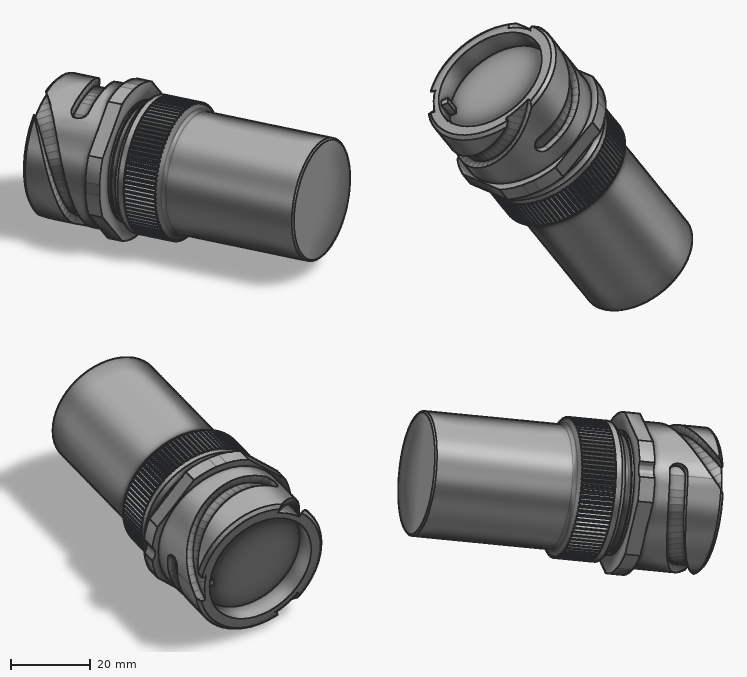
import cadquery as cq
import math


length = 75.8
flange_start = 19.0
flange_end = 23.05
thread_end = 23.65
neck_fillet_end = 24.3
neck_end = 25.3
ring_start = 25.7
knurl_start = 28.5
tube_start = 39.4

shell_radius = 18.65
tube_radius = 15.9
thread_radius = 15.9
neck_entry_radius = 15.2
neck_radius = 14.9
ring_bore_radius = 15.5
ring_radius = 18.0

shell_chamfer = 0.9
ring_chamfer_length = 1.1
ring_chamfer_depth = 1.05
tube_chamfer = 0.45
shoulder_fillet = 1.2
shoulder_slope = math.radians(58.0)

fillet_start_x = tube_start - shoulder_fillet * math.sin(shoulder_slope)
fillet_start_r = tube_radius + shoulder_fillet * (1 - math.cos(shoulder_slope))
knurl_end = fillet_start_x - (ring_radius - fillet_start_r) / math.tan(shoulder_slope)

flange_diagonal_flats = 38.2
flange_square_flats = 41.0
flange_flat_width = 3.0
notch_radius = 2.8
notch_centre = 22.4

knurl_count = 90
knurl_depth = 0.6
knurl_crest_width = 0.3

cavity_radius = 15.0
cavity_depth = 5.6
key_width = 1.75
key_inner_radius = 13.05
key_length = 4.3

slot_count = 3
slot_width = 4.8
slot_floor_radius = 16.5
slot_centre_x = 12.1
slot_end_angle = -62.4
slot_curve_angle = -49.0
slot_curve_radius = 57.6
slot_curve_sweep = 44.0
slot_curve_steps = 21

cut_clearance = 1.5


def turned_body():
    """Revolve the profile of the shell, neck, ring and tube about X."""
    neck_fillet_middle = (
        (thread_end + neck_fillet_end) / 2,
        neck_radius + (neck_entry_radius - neck_radius) / 4,
    )
    fillet_mid_x = tube_start - shoulder_fillet * math.sin(shoulder_slope / 2)
    fillet_mid_r = tube_radius + shoulder_fillet * (1 - math.cos(shoulder_slope / 2))
    return (
        cq.Workplane("XY")
        .moveTo(0, 0)
        .lineTo(0, shell_radius - shell_chamfer)
        .lineTo(shell_chamfer, shell_radius)
        .lineTo(flange_end, shell_radius)
        .lineTo(flange_end, thread_radius)
        .lineTo(thread_end, thread_radius)
        .lineTo(thread_end, neck_entry_radius)
        .threePointArc(neck_fillet_middle, (neck_fillet_end, neck_radius))
        .lineTo(neck_end, neck_radius)
        .lineTo(ring_start, ring_bore_radius)
        .lineTo(ring_start, ring_radius - ring_chamfer_depth)
        .lineTo(ring_start + ring_chamfer_length, ring_radius)
        .lineTo(knurl_end, ring_radius)
        .lineTo(fillet_start_x, fillet_start_r)
        .threePointArc((fillet_mid_x, fillet_mid_r), (tube_start, tube_radius))
        .lineTo(length - tube_chamfer, tube_radius)
        .lineTo(length, tube_radius - tube_chamfer)
        .lineTo(length, 0)
        .close()
        .revolve(360, (0, 0, 0), (1, 0, 0))
    )


def flange():
    """Round plate trimmed by a diagonal square and a slightly larger upright one."""
    thickness = flange_end - flange_start
    corner_radius = math.hypot(flange_square_flats, flange_flat_width) / 2
    face = cq.Workplane("YZ", origin=(flange_start, 0, 0))
    plate = face.circle(corner_radius).extrude(thickness)
    upright = face.rect(flange_square_flats, flange_square_flats).extrude(thickness)
    diagonal = (
        face.transformed(rotate=(0, 0, 45))
        .rect(flange_diagonal_flats, flange_diagonal_flats)
        .extrude(thickness)
    )
    notch = face.center(notch_centre, 0).circle(notch_radius).extrude(thickness)
    return plate.intersect(upright).intersect(diagonal).cut(notch)


def polar_point(radius, angle):
    """Point at a radius and an angle in the plane across X."""
    return (radius * math.cos(angle), radius * math.sin(angle))


def knurl_cutter():
    """Ring whose toothed bore leaves narrow-crested teeth along the knurled band."""
    root_radius = ring_radius - knurl_depth
    pitch = 2 * math.pi / knurl_count
    half_crest = knurl_crest_width / 2 / ring_radius
    outline = []
    for tooth in range(knurl_count):
        crest_angle = tooth * pitch
        root_angle = crest_angle + pitch / 2
        outline.append(polar_point(ring_radius, crest_angle - half_crest))
        outline.append(polar_point(ring_radius, crest_angle + half_crest))
        outline.append(polar_point(root_radius, root_angle))
    return (
        cq.Workplane("YZ", origin=(knurl_start, 0, 0))
        .circle(ring_radius + cut_clearance)
        .polyline(outline)
        .close()
        .extrude(knurl_end - knurl_start)
    )


def slot_section(x, angle, tilt):
    """Rectangle across the slot, standing on its floor and square to its path."""
    radial = cq.Vector(0, -math.cos(angle), math.sin(angle))
    tangent = cq.Vector(0, math.sin(angle), math.cos(angle))
    across = cq.Vector(math.cos(tilt), 0, 0) + tangent * math.sin(tilt)
    half = across * (slot_width / 2)
    floor = cq.Vector(x, 0, 0) + radial * slot_floor_radius
    top = cq.Vector(x, 0, 0) + radial * (shell_radius + cut_clearance)
    return cq.Wire.makePolygon([floor - half, floor + half, top + half, top - half], close=True)


def slot_cutter():
    """One bayonet slot: a round end, a straight run and a curved lead-in."""
    end_angle = math.radians(slot_end_angle)
    curve_angle = math.radians(slot_curve_angle)
    sections = [slot_section(slot_centre_x, end_angle, 0)]
    for step in range(slot_curve_steps + 1):
        tilt = math.radians(slot_curve_sweep) * step / slot_curve_steps
        x = slot_centre_x - slot_curve_radius * (1 - math.cos(tilt))
        angle = curve_angle + slot_curve_radius * math.sin(tilt) / shell_radius
        sections.append(slot_section(x, angle, tilt))
    track = cq.Workplane(cq.Solid.makeLoft(sections, True))
    radial = cq.Vector(0, -math.cos(end_angle), math.sin(end_angle))
    round_end = cq.Solid.makeCylinder(
        slot_width / 2,
        shell_radius + cut_clearance - slot_floor_radius,
        cq.Vector(slot_centre_x, 0, 0) + radial * slot_floor_radius,
        radial,
    )
    return track.union(cq.Workplane(round_end))


def front_cavity():
    """Round recess in the open end."""
    return cq.Workplane("YZ").circle(cavity_radius).extrude(cavity_depth)


def key():
    """Rectangular key on the +Y wall of the cavity, standing on its floor."""
    embedded_radius = (cavity_radius + slot_floor_radius) / 2
    height = embedded_radius - key_inner_radius
    corner = (cavity_depth - key_length, key_inner_radius, 0)
    return (
        cq.Workplane("XY", origin=corner)
        .box(key_length, height, key_width, centered=(False, False, True))
    )


result = turned_body().union(flange()).cut(knurl_cutter())
slot = slot_cutter()
slot_pitch = 360 / slot_count
for index in range(slot_count):
    result = result.cut(slot.rotate((0, 0, 0), (1, 0, 0), index * slot_pitch))
result = result.cut(front_cavity()).union(key())